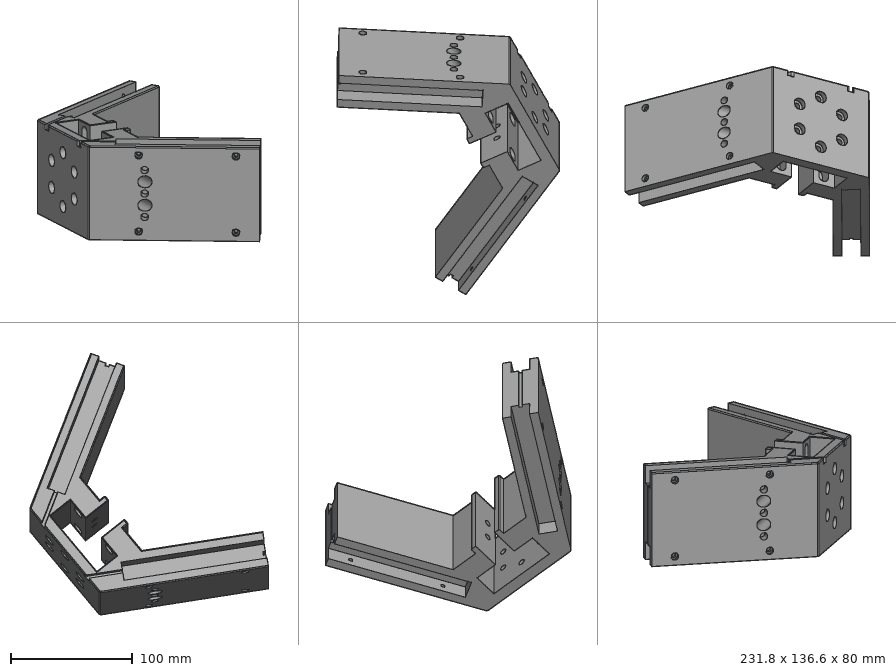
import cadquery as cq
import math

HEIGHT = 80.0
OVERALL_WIDTH = 231.8
OVERALL_DEPTH = 136.6
ARM_ANGLE = math.radians(60)
ARM_THICKNESS = 30.0
RIM_CHAMFER = 1.0
CORNER_CHAMFER = 0.8
SLOT_RIM_CHAMFER = 0.6

COS_ARM = math.cos(ARM_ANGLE)
SIN_ARM = math.sin(ARM_ANGLE)
ARM_LENGTH = (OVERALL_DEPTH - ARM_THICKNESS * COS_ARM) / SIN_ARM
CORNER_X = OVERALL_WIDTH / 2 - ARM_LENGTH * COS_ARM
MID_Z = HEIGHT / 2

FRONT_WALL = 9.5
SLOT_HALF_WIDTH = 30.2
SLOT_BACK_Y = 30.5
NECK_HALF_WIDTH = 10.3
SHOULDER_Y = 49.5
LIP_Y = 55.0
LIP_WIDTH = 5.0
LIP_CORNER_CHAMFER = 0.7

POCKET_WIDTH = 15.5
POCKET_DEPTH = 15.0
POCKET_WALL = (ARM_THICKNESS - POCKET_WIDTH) / 2
POCKET_START = 21.5

GROOVE_WIDTH = 3.0
GROOVE_DEPTH = 5.0
END_GROOVE_DEPTH = 2.0
MOUTH_CHAMFER = 1.3

SCREW_DIA = 5.5
SCREW_HEAD_DIA = 10.1
SCREW_HEAD_DEPTH = 5.0
CENTRE_SCREW_SPACING = 46.0
SIDE_SCREW_X = 20.0
SIDE_SCREW_SPACING = 23.0

RECESS_WIDTH = 9.0
RECESS_HEIGHT = 14.5
RECESS_DEPTH = 10.0
RECESS_SPACING = 58.0

CLAMP_Y = 40.0
CLAMP_SPACING = 20.0
CLAMP_SEAT_X = 40.0

SMALL_SCREW_DIA = 3.4
SMALL_HOLE_DIA = 6.1
SMALL_HEAD_DEPTH = 3.5
SMALL_SCREW_ALONG = (41.0, 121.0)
PIN_ALONG = 46.0
PIN_SPACING = 20.0
PIN_DEPTH = 10.0

OVERRUN = 10.0
OVERLAP = 1.0


def arm_point(along, inward):
    """Plan point on the right arm: distance from its front corner, distance in from its outer face."""
    x = CORNER_X + along * COS_ARM - inward * SIN_ARM
    y = along * SIN_ARM + inward * COS_ARM
    return (x, y)


def arm_block(along_start, along_end, inward_start, inward_end, z_start, z_end):
    """Box aligned with the right arm."""
    corners = [
        arm_point(along_start, inward_start),
        arm_point(along_end, inward_start),
        arm_point(along_end, inward_end),
        arm_point(along_start, inward_end),
    ]
    return cq.Workplane("XY").workplane(offset=z_start).polyline(corners).close().extrude(z_end - z_start)


def cylinder(start, direction, diameter, length):
    """Cylinder from a start point along a direction."""
    return cq.Workplane(cq.Solid.makeCylinder(diameter / 2, length, cq.Vector(*start), cq.Vector(*direction)))


def arm_hole(along, z, diameter, depth):
    """Cylinder going square into the outer face of the right arm."""
    x, y = arm_point(along, 0)
    return cylinder((x, y, z), (-SIN_ARM, COS_ARM, 0), diameter, depth)


def both_sides(tool):
    """The tool together with its mirror image about X = 0."""
    return tool.union(tool.mirror("YZ"))


def make_body():
    """Plan outline extruded, with its upper rim and outer front corners chamfered."""
    long_end = ARM_LENGTH + OVERRUN
    shoulder_along = (SHOULDER_Y - ARM_THICKNESS * COS_ARM) / SIN_ARM
    lip_outer_x = NECK_HALF_WIDTH + LIP_WIDTH
    right_side = [
        (CORNER_X, 0),
        arm_point(long_end, 0),
        arm_point(long_end, ARM_THICKNESS),
        arm_point(shoulder_along, ARM_THICKNESS),
        (lip_outer_x, SHOULDER_Y),
        (lip_outer_x, LIP_Y - LIP_CORNER_CHAMFER),
        (lip_outer_x - LIP_CORNER_CHAMFER, LIP_Y),
        (NECK_HALF_WIDTH, LIP_Y),
        (NECK_HALF_WIDTH, SLOT_BACK_Y),
        (SLOT_HALF_WIDTH, SLOT_BACK_Y),
        (SLOT_HALF_WIDTH, FRONT_WALL),
    ]
    left_side = [(-x, y) for x, y in reversed(right_side)]
    body = cq.Workplane("XY").polyline(right_side + left_side).close().extrude(HEIGHT)
    body = body.edges("|Z and <Y").chamfer(CORNER_CHAMFER)
    slot_zone = cq.selectors.BoxSelector(
        (-SLOT_HALF_WIDTH - OVERLAP, FRONT_WALL - OVERLAP, HEIGHT - OVERLAP),
        (SLOT_HALF_WIDTH + OVERLAP, SHOULDER_Y - OVERLAP, HEIGHT + OVERLAP),
    )
    slot_rim = body.faces(">Z").edges(slot_zone)
    outer_rim = body.faces(">Z").edges().filter(lambda edge: edge not in slot_rim.vals())
    body = outer_rim.chamfer(RIM_CHAMFER)
    body = body.faces(">Z").edges(slot_zone).chamfer(SLOT_RIM_CHAMFER)
    end_trim = arm_block(ARM_LENGTH, long_end + OVERRUN, -OVERRUN, ARM_THICKNESS + OVERRUN, 0, HEIGHT)
    return body.cut(both_sides(end_trim))


def arm_pockets():
    """Open-ended pockets in the top and bottom of the arms."""
    inner = POCKET_WALL + POCKET_WIDTH
    end = ARM_LENGTH + OVERRUN
    top = arm_block(POCKET_START, end, POCKET_WALL, inner, HEIGHT - POCKET_DEPTH, HEIGHT)
    bottom = arm_block(POCKET_START, end, POCKET_WALL, inner, 0, POCKET_DEPTH)
    return both_sides(top.union(bottom))


def cable_grooves():
    """Groove from each top pocket to the front face, and one down each arm end."""
    centre = POCKET_WALL + POCKET_WIDTH / 2
    near = centre - GROOVE_WIDTH / 2
    far = centre + GROOVE_WIDTH / 2
    floor_z = HEIGHT - GROOVE_DEPTH
    top = arm_block(-centre, POCKET_START + OVERLAP, near, far, floor_z, HEIGHT)
    end = arm_block(ARM_LENGTH - END_GROOVE_DEPTH, ARM_LENGTH + OVERLAP, near, far, 0, HEIGHT)
    mouth_x = CORNER_X - centre / SIN_ARM
    half_mouth = GROOVE_WIDTH / SIN_ARM / 2
    lean = MOUTH_CHAMFER / math.tan(ARM_ANGLE)
    mouth_outline = [
        (mouth_x - half_mouth - MOUTH_CHAMFER, 0),
        (mouth_x + half_mouth + MOUTH_CHAMFER, 0),
        (mouth_x + half_mouth + lean, MOUTH_CHAMFER),
        (mouth_x - half_mouth + lean, MOUTH_CHAMFER),
    ]
    mouth = cq.Workplane("XY").workplane(offset=floor_z).polyline(mouth_outline).close().extrude(GROOVE_DEPTH)
    return both_sides(top.union(end).union(mouth))


def front_screws():
    """Counterbored screws through the front wall."""
    centres = [(0, MID_Z + side * CENTRE_SCREW_SPACING / 2) for side in (-1, 1)]
    sides = [
        (x_side * SIDE_SCREW_X, MID_Z + z_side * SIDE_SCREW_SPACING / 2)
        for x_side in (-1, 1)
        for z_side in (-1, 1)
    ]
    into_wall = (0, 1, 0)
    tools = cq.Workplane("XY")
    for x, z in centres + sides:
        tools = tools.add(cylinder((x, 0, z), into_wall, SCREW_HEAD_DIA, SCREW_HEAD_DEPTH))
        tools = tools.add(cylinder((x, 0, z), into_wall, SCREW_DIA, FRONT_WALL + OVERLAP))
    return tools.combine()


def back_wall_recesses():
    """Round-ended blind slots in the shoulders, in line with the side screws."""
    centres = [
        (x_side * SIDE_SCREW_X, z_side * RECESS_SPACING / 2)
        for x_side in (-1, 1)
        for z_side in (-1, 1)
    ]
    back_wall = cq.Workplane("XZ", origin=(0, SLOT_BACK_Y, MID_Z))
    return back_wall.pushPoints(centres).slot2D(RECESS_HEIGHT, RECESS_WIDTH, 90).extrude(-RECESS_DEPTH)


def clamp_bolts():
    """Bolts running along X through both arms and shoulders, with heads sunk into the arms."""
    half_width = OVERALL_WIDTH / 2
    tools = cq.Workplane("XY")
    for side in (-1, 1):
        z = MID_Z + side * CLAMP_SPACING / 2
        tools = tools.add(cylinder((-half_width, CLAMP_Y, z), (1, 0, 0), SCREW_DIA, OVERALL_WIDTH))
        for x_side in (-1, 1):
            start = (x_side * CLAMP_SEAT_X, CLAMP_Y, z)
            tools = tools.add(cylinder(start, (x_side, 0, 0), SCREW_HEAD_DIA, half_width - CLAMP_SEAT_X))
    return tools.combine()


def arm_face_holes():
    """Counterbored screws into the pockets and a column of blind holes in each arm."""
    pocket_mid = MID_Z - POCKET_DEPTH / 2
    tools = cq.Workplane("XY")
    for along in SMALL_SCREW_ALONG:
        for side in (-1, 1):
            z = MID_Z + side * pocket_mid
            tools = tools.add(arm_hole(along, z, SMALL_HOLE_DIA, SMALL_HEAD_DEPTH))
            tools = tools.add(arm_hole(along, z, SMALL_SCREW_DIA, POCKET_WALL + OVERLAP))
    for step in (-1, 0, 1):
        tools = tools.add(arm_hole(PIN_ALONG, MID_Z + step * PIN_SPACING, SMALL_HOLE_DIA, PIN_DEPTH))
    return both_sides(tools.combine())


result = make_body()
cutters = [
    arm_pockets(),
    cable_grooves(),
    front_screws(),
    back_wall_recesses(),
    clamp_bolts(),
    arm_face_holes(),
]
for cutter in cutters:
    result = result.cut(cutter)